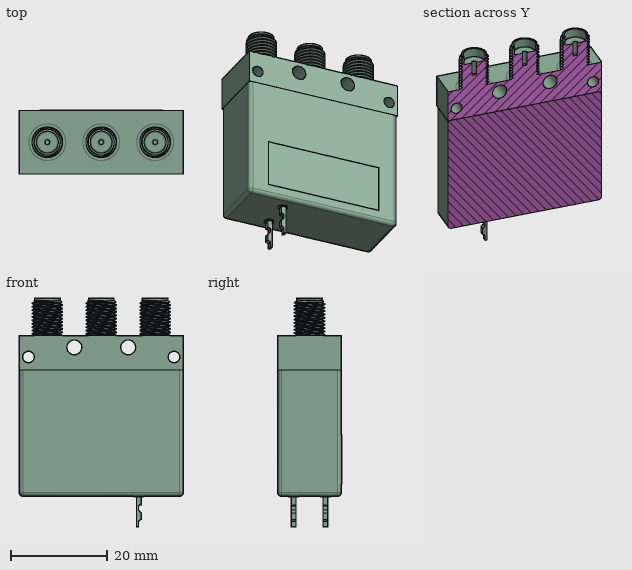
import cadquery as cq

case_width = 34.04
case_depth = 13.21
block_height = 7.16
cover_height = 26.18
cover_edge_radius = 0.8

mount_hole_diameter = 3.05
mount_hole_x = 5.588
mount_hole_drop = 2.42
fastener_hole_diameter = 2.36
fastener_hole_x = 15.09
fastener_hole_drop = 4.42

connector_pitch = 2 * mount_hole_x
connector_height = 7.81
flange_diameter = 7.62
flange_depth = 1.0
barrel_diameter = 5.38
bore_diameter = 4.57
bore_depth = 1.95
dielectric_diameter = 4.2
dielectric_depth = 4.0
contact_diameter = 1.27
contact_hole_diameter = 0.94
contact_hole_depth = 3.0

thread_diameter = 6.35
thread_pitch = 25.4 / 36
thread_crest_width = 0.09
thread_root_overlap = 0.1
thread_root_width = 0.96 * thread_pitch
envelope_clearance = 0.2
envelope_diameter = thread_diameter + 2 * envelope_clearance
plain_tip_height = 0.5

label_width = 25.4
label_height = 10.16
label_thickness = 0.1
label_bottom = 2.54

pin_length = 6.3
pin_width = 1.02
pin_x = 7.79
pin_spacing = 6.604
pin_neck = 0.45
pin_notch_top = 1.75
pin_notch_slope = 0.25
pin_notch_bottom = 2.8
pin_lug_top = 3.4
pin_lug_bottom = 4.75
pin_lug_end = 5.15
bead_diameter = 2.03
bead_thickness = 0.12

block_top = cover_height + block_height


def disc(diameter, height, base):
    return cq.Workplane("XY").workplane(offset=base).circle(diameter / 2).extrude(height)


def thread_ridge(base, height):
    """Right-handed helical ridge with a trapezoidal section."""
    root = barrel_diameter / 2 - thread_root_overlap
    crest = thread_diameter / 2
    half_root = thread_root_width / 2
    half_crest = thread_crest_width / 2
    helix = cq.Wire.makeHelix(thread_pitch, height, root)
    section = (
        cq.Workplane("XZ")
        .polyline([(root, -half_root), (crest, -half_crest), (crest, half_crest), (root, half_root)])
        .close()
    )
    ridge = section.sweep(cq.Workplane(obj=helix), isFrenet=True)
    return ridge.translate((0, 0, base))


def threaded_barrel():
    """Threaded barrel, flat at the bottom and tapered into its plain tip."""
    core = disc(barrel_diameter, connector_height + 2 * thread_pitch, -thread_pitch)
    ridge = thread_ridge(-thread_pitch, connector_height + thread_pitch)
    taper_top = connector_height - plain_tip_height
    taper_bottom = taper_top - (envelope_diameter - barrel_diameter) / 2
    envelope = (
        cq.Workplane("XZ")
        .polyline([
            (0, 0),
            (envelope_diameter / 2, 0),
            (envelope_diameter / 2, taper_bottom),
            (barrel_diameter / 2, taper_top),
            (barrel_diameter / 2, connector_height),
            (0, connector_height),
        ])
        .close()
        .revolve(360, (0, 0, 0), (0, 1, 0))
    )
    return core.union(ridge).intersect(envelope)


def make_connector():
    """Connector with the top of its flange at Z = 0."""
    face = connector_height - bore_depth
    shell = threaded_barrel().union(disc(flange_diameter, flange_depth, -flange_depth))
    shell = shell.cut(disc(bore_diameter, bore_depth, face))
    shell = shell.cut(disc(dielectric_diameter, dielectric_depth, face - dielectric_depth))
    dielectric = disc(dielectric_diameter, dielectric_depth, face - dielectric_depth)
    dielectric = dielectric.cut(disc(contact_diameter, contact_hole_depth, face - contact_hole_depth))
    contact = disc(contact_diameter, contact_hole_depth, face - contact_hole_depth)
    contact = contact.cut(disc(contact_hole_diameter, contact_hole_depth, face - contact_hole_depth))
    return shell.union(dielectric, clean=False).union(contact, clean=False)


def cross_holes(diameter, x, drop):
    return (
        cq.Workplane("XZ", origin=(0, 0, block_top - drop))
        .pushPoints([(-x, 0), (x, 0)])
        .circle(diameter / 2)
        .extrude(case_depth, both=True)
    )


def make_block():
    block = (
        cq.Workplane("XY", origin=(0, 0, cover_height))
        .rect(case_width, case_depth)
        .extrude(block_height)
    )
    connector = make_connector()
    for index in (-1, 0, 1):
        x = index * connector_pitch
        seat = disc(flange_diameter, flange_depth, block_top - flange_depth).translate((x, 0, 0))
        block = block.cut(seat, clean=False).union(connector.translate((x, 0, block_top)), clean=False)
    block = block.cut(cross_holes(mount_hole_diameter, mount_hole_x, mount_hole_drop), clean=False)
    return block.cut(cross_holes(fastener_hole_diameter, fastener_hole_x, fastener_hole_drop), clean=False)


def make_pin(y):
    """Notched solder pin and the glass bead that it passes through."""
    left = pin_x - pin_width / 2
    right = left + pin_width
    neck = left + pin_neck
    pin = (
        cq.Workplane("XZ", origin=(0, y, 0))
        .polyline([
            (left, 0),
            (right, 0),
            (right, -pin_notch_top),
            (right - pin_notch_slope, -pin_notch_top),
            (neck, -pin_notch_top - pin_notch_slope),
            (neck, -pin_notch_bottom),
            (right, -pin_lug_top),
            (right, -pin_lug_bottom),
            (neck, -pin_lug_end),
            (neck, -pin_length),
            (left, -pin_length),
        ])
        .close()
        .extrude(pin_width / 2, both=True)
    )
    bead = disc(bead_diameter, bead_thickness, -bead_thickness).translate((pin_x, y, 0))
    return bead.union(pin)


def make_cover():
    cover = cq.Workplane("XY").rect(case_width, case_depth).extrude(cover_height)
    cover = cover.edges("|Z or <Z").fillet(cover_edge_radius)
    label = cq.Workplane("XY").box(
        label_width, label_thickness, label_height, centered=(True, False, False)
    )
    cover = cover.union(label.translate((0, case_depth / 2, label_bottom)))
    for side in (-1, 1):
        cover = cover.union(make_pin(side * pin_spacing / 2))
    return cover


block = make_block()
cover = make_cover()
result = cq.Compound.makeCompound([block.val(), cover.val()])